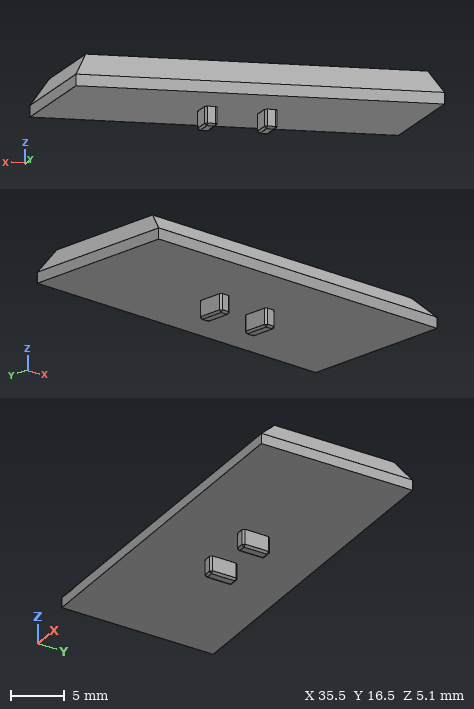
import cadquery as cq

length = 35.5
width = 16.5
total_height = 5.1
rim_height = 1.1
bevel_height = 2.2
narrow_inset = 1.28
front_inset = bevel_height

peg_height = total_height - rim_height - bevel_height
peg_length = 1.2
peg_width = 2.98
peg_spacing = 5.75
peg_chamfer = 0.2


def make_rim():
    return cq.Workplane("XY").box(length, width, rim_height, centered=(True, True, False))


def make_crown():
    """Crown tapering from the rim outline to a top face shifted towards the back."""
    top_length = length - 2 * narrow_inset
    top_width = width - narrow_inset - front_inset
    top_shift = (front_inset - narrow_inset) / 2
    return (
        cq.Workplane("XY")
        .workplane(offset=rim_height)
        .rect(length, width)
        .workplane(offset=bevel_height)
        .center(0, top_shift)
        .rect(top_length, top_width)
        .loft(ruled=True)
    )


def make_peg(x):
    """Peg hanging below the plate, chamfered on its upright edges and lower end."""
    return (
        cq.Workplane("XY")
        .box(peg_length, peg_width, peg_height, centered=(True, True, False))
        .edges("|Z or <Z")
        .chamfer(peg_chamfer)
        .translate((x, 0, -peg_height))
    )


result = make_rim().union(make_crown())
for side in (-1, 1):
    result = result.union(make_peg(side * peg_spacing / 2))